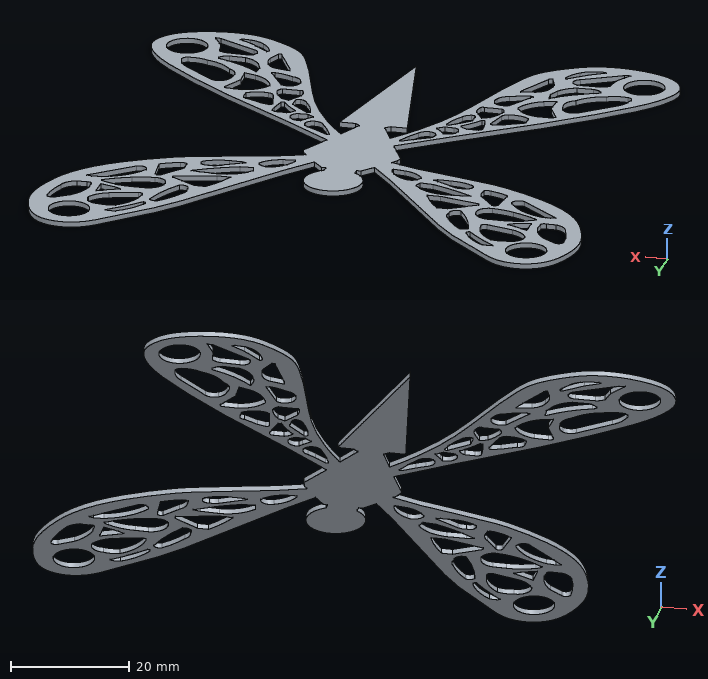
import cadquery as cq
import math

thickness = 1.0

head_radius = 5.1
head_center_y = 16.7
tail_tip_y = -39.55

body_edge = [
    (4.3, 14.0), (2.7, 12.6), (2.7, 11.2), (3.4, 11.2), (5.3, 9.0), (8.1, 5.1),
    (8.5, 3.8), (5.8, -1.7), (4.3, -5.2), (2.7, -8.7), (2.2, -9.7), (3.1, -10.4),
    (5.9, -10.4),
]

wing_hole_diameter = 7.0
wing_hole_x = 39.9
upper_hole_y = 40.7
lower_hole_y = -39.2

upper_wing_edge = [
    (7.4, 5.9), (11.4, 7.5), (20.8, 10.1), (28.3, 12.45), (33.7, 15.1), (40.1, 19.5),
    (44.2, 24.2), (46.9, 30.3), (47.9, 35.6), (47.1, 40.5), (43.9, 45.9), (39.9, 47.2),
    (35.9, 46.2), (32.4, 43.1), (27.3, 38.2), (20.6, 30.1), (5.3, 9.0),
]
lower_wing_edge = [
    (5.8, -1.7), (12.8, -7.3), (31.0, -21.2), (38.2, -27.5), (42.6, -32.0), (45.2, -35.9),
    (46.1, -39.4), (43.9, -43.9), (39.7, -46.2), (34.1, -47.2), (29.1, -46.6), (25.0, -44.6),
    (20.6, -40.9), (18.6, -37.1), (15.9, -29.5), (11.4, -16.7), (8.7, -11.6), (4.3, -5.2),
]

upper_wing_openings = {
    "tip sliver": [
        (33.9, 39.8, 0.2), (32.0, 39.9, 0.45), (28.1, 35.2, 0.23), (28.5, 34.6, -0.2),
    ],
    "big round cell": [
        (38.1, 34.5, 0.91), (35.6, 37.25, 0.23), (32.75, 37.2, 0.76), (29.6, 31.2, 0.31),
        (30.45, 30.5, 0), (35.2, 31.9, 0.4),
    ],
    "outer tip cell": [
        (45.1, 35.2, 0.53), (43.8, 36.1, 0), (41.3, 34.3, 0.4), (39.2, 29.9, 0),
        (39.3, 28.3, 0.31), (40.1, 27.8, 0), (41.8, 27.8, 0.45), (44.05, 30.1, 0.23),
    ],
    "small triangle": [
        (37.6, 31.4, 0), (33.8, 29.6, 0), (34.9, 28.9, 0), (37.6, 28.1, 0),
    ],
    "middle teardrop": [
        (38.0, 26.1, 0.115), (37.1, 26.9, 0.31), (32.2, 28.0, 0), (29.9, 28.0, 0.68),
        (27.2, 25.4, 0.83), (29.5, 22.9, 0.15), (33.3, 23.75, 0.15),
    ],
    "outer edge cell": [
        (41.0, 24.6, 0), (40.1, 24.9, 0), (38.4, 24.7, 0.83), (31.9, 19.5, 0.68),
        (33.9, 18.4, 0),
    ],
    "lower middle cell": [
        (30.0, 21.0, 0.31), (28.9, 21.4, 0), (26.7, 18.4, 0.23), (25.9, 16.5, 0),
        (25.95, 15.1, 0.15), (27.1, 14.9, 0.15), (30.45, 16.5, 0),
    ],
    "upper edge cell": [
        (27.9, 32.9, 0.4), (26.3, 33.4, 0.23), (23.3, 29.1, 0.31), (22.9, 26.9, 0.76),
        (24.6, 25.4, 0.4),
    ],
    "large triangle": [
        (26.7, 21.9, 0), (22.1, 24.8, 0), (20.2, 24.8, 0.23), (17.1, 19.5, 0),
        (19.5, 19.5, 0), (26.7, 21.4, 0),
    ],
    "inner leaf": [
        (24.4, 18.1, 0), (23.1, 18.4, 0), (19.7, 18.5, 0.76), (14.2, 15.5, 0),
        (14.6, 14.2, 0), (16.9, 14.4, 0.23),
    ],
    "lower leaf": [
        (23.7, 14.4, 0.31), (22.3, 14.9, 0.15), (20.8, 14.7, 0), (16.4, 12.3, 0),
        (17.0, 12.0, 0), (19.3, 12.0, 0.31), (23.5, 13.2, 0.2),
    ],
    "root drop": [
        (14.2, 11.8, 0.76), (11.6, 13.0, 0.53), (8.4, 9.5, 0), (8.5, 9.0, 0),
        (10.6, 9.3, 0.45),
    ],
}
lower_wing_openings = {
    "root drop": [
        (6.6, -4.3, 0.115), (6.1, -4.5, 0), (7.2, -6.8, 0), (8.3, -8.7, 0.31),
        (10.1, -9.8, 0.31), (11.4, -8.6, 0.4), (10.2, -6.8, 0), (8.7, -5.8, 0),
    ],
    "small round cell": [
        (14.65, -11.0, 0.6), (12.45, -9.6, 0), (12.0, -10.2, 0), (10.7, -11.7, 0),
        (12.0, -12.6, 0), (13.6, -12.5, 0.4),
    ],
    "small wedge": [
        (18.4, -13.2, 0.23), (17.4, -12.6, 0), (15.7, -12.6, 0.2), (14.5, -13.8, -0.15),
        (17.2, -17.2, 0), (17.8, -17.1, 0), (18.3, -14.6, 0),
    ],
    "inner leaf": [
        (15.7, -16.7, 0), (12.45, -13.6, 0.15), (11.9, -13.9, 0.23), (13.6, -18.0, 0.23),
        (14.9, -19.15, 0.23), (15.7, -18.6, 0),
    ],
    "upper edge cell": [
        (24.7, -18.4, 0.31), (23.7, -17.4, 0), (21.2, -16.1, 0), (19.5, -15.6, 0.15),
        (19.1, -16.1, 0), (19.9, -19.9, 0.23), (21.0, -20.9, 0.45), (24.7, -19.9, 0),
    ],
    "lower edge cell": [
        (19.7, -21.5, 0.15), (18.2, -19.0, 0), (16.9, -18.4, 0), (15.3, -21.0, 0.15),
        (15.5, -23.1, 0.15), (16.1, -23.3, 0), (19.15, -23.3, 0.31),
    ],
    "curved wedge": [
        (28.9, -21.9, 0.23), (28.2, -21.4, 0), (25.8, -21.4, 0.68), (21.6, -24.4, 0.6),
        (25.2, -28.4, 0), (27.3, -29.1, 0), (27.1, -25.8, 0),
    ],
    "largest cell": [
        (39.2, -32.4, 0.31), (37.4, -29.5, 0), (32.2, -24.9, 0.4), (29.9, -24.8, 0.31),
        (28.9, -26.9, 0.68), (30.3, -30.3, 0.53), (34.9, -33.3, 0.31), (38.4, -33.9, 0.45),
    ],
    "lower drop": [
        (22.9, -30.3, 0), (19.9, -25.3, 0.45), (17.4, -25.6, 0.31), (17.1, -27.7, 0.4),
        (19.0, -29.3, 0.15), (22.3, -30.45, 0),
    ],
    "crescent": [
        (33.4, -35.1, 0.15), (32.75, -34.5, -0.45), (25.6, -30.2, 0), (25.4, -32.0, 0),
        (26.1, -33.9, 0.31), (28.9, -36.1, 0), (31.8, -36.2, 0.2),
    ],
    "outer edge cell": [
        (24.6, -34.7, 0.4), (22.7, -32.6, 0), (20.1, -32.0, 0), (20.4, -32.9, 0),
        (23.3, -38.8, 0.23), (23.9, -39.2, 0), (24.8, -36.9, 0.15),
    ],
    "tip cell": [
        (34.1, -38.4, 0.15), (32.6, -37.6, 0), (29.1, -37.5, 0.31), (27.7, -38.4, 0.4),
        (28.5, -40.1, 0), (35.2, -43.9, 0), (36.3, -44.05, 0), (34.5, -40.9, 0),
    ],
    "tip sliver": [
        (32.0, -44.2, 0), (29.5, -42.7, 0), (26.2, -39.9, 0.115), (25.9, -40.3, 0.23),
        (27.7, -43.2, 0.23), (30.3, -44.4, 0), (31.6, -44.5, 0),
    ],
}


def make_body():
    """Head disc joined to the mirrored torso and tail."""
    left_edge = [(-x, y) for x, y in reversed(body_edge)]
    neck_center = (0, head_center_y)
    torso = (
        cq.Workplane("XY")
        .polyline([neck_center] + body_edge + [(0, tail_tip_y)] + left_edge)
        .close()
        .extrude(thickness)
    )
    head = cq.Workplane("XY").center(0, head_center_y).circle(head_radius).extrude(thickness)
    return torso.union(head)


def make_opening(corners):
    """Cutter for one closed opening with straight and arched sides."""
    outline = cq.Workplane("XY").moveTo(*corners[0][:2])
    for (x1, y1, bulge), (x2, y2, _) in zip(corners, corners[1:] + corners[:1]):
        if bulge == 0:
            outline = outline.lineTo(x2, y2)
            continue
        side = math.hypot(x2 - x1, y2 - y1)
        arc_x = (x1 + x2) / 2 + bulge * (y2 - y1) / side
        arc_y = (y1 + y2) / 2 - bulge * (x2 - x1) / side
        outline = outline.threePointArc((arc_x, arc_y), (x2, y2))
    return outline.close().extrude(thickness)


def make_wing(edge, openings, hole_y):
    """One +X wing: a plate closed inside the body, with a round hole and vein openings."""
    wing = (
        cq.Workplane("XY")
        .moveTo(*edge[0])
        .spline(edge[1:], includeCurrent=True)
        .lineTo(0, edge[-1][1])
        .lineTo(0, edge[0][1])
        .close()
        .extrude(thickness)
    )
    round_hole = (
        cq.Workplane("XY").center(wing_hole_x, hole_y).circle(wing_hole_diameter / 2).extrude(thickness)
    )
    wing = wing.cut(round_hole)
    for corners in openings.values():
        wing = wing.cut(make_opening(corners))
    return wing


result = make_body()
for edge, openings, hole_y in (
    (upper_wing_edge, upper_wing_openings, upper_hole_y),
    (lower_wing_edge, lower_wing_openings, lower_hole_y),
):
    wing = make_wing(edge, openings, hole_y)
    result = result.union(wing).union(wing.mirror("YZ"))